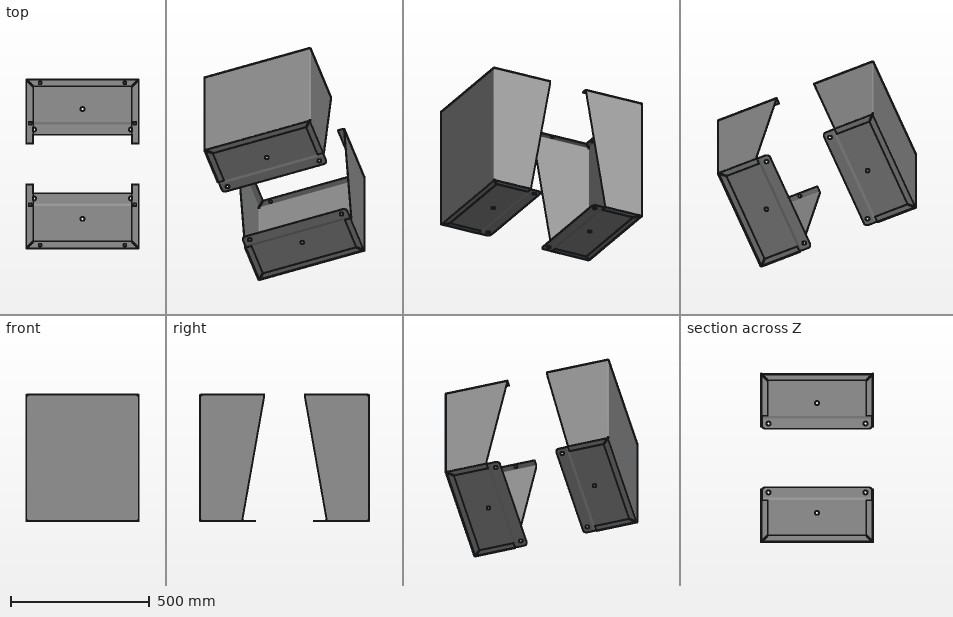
import cadquery as cq

WIDTH = 406.5
LENGTH = 609.5
HEIGHT = 457.0

SHEET = 2.25
BEND_RADIUS = 4.6
INNER_BEND_RADIUS = BEND_RADIUS - SHEET

TOP_DEPTH = 231.5
BOTTOM_DEPTH = 153.0
END_STRAIGHT = 8.5
FLANGE_WIDTH = 25.5
MITRE_GAP = 3.0
MITRE_ANGLE = -45.0

SCREW_DIAMETER = 11.0
BACK_SCREW_INSET = 13.0
BACK_SCREW_FROM_SIDE = 50.5
SIDE_SCREW_INSET = 14.5
SIDE_SCREW_FROM_BACK = 158.5

STEP_LENGTH = 9.0
LIP_END = 200.0
LIP_CORNER_RADIUS = 13.5
FLOOR_HOLE_DIAMETER = 14.0
CENTRE_HOLE_FROM_BACK = 107.0
LIP_HOLE_FROM_SIDE = 28.5
LIP_HOLE_FROM_BACK = 181.0

HALF_WIDTH = WIDTH / 2


def rounded_block(inset, radius):
    """Block inset from the envelope, rounded on all edges except at its open +Y end."""
    return (
        cq.Workplane("XY")
        .box(WIDTH - 2 * inset, LENGTH, HEIGHT - 2 * inset, centered=(True, False, True))
        .translate((0, inset, HEIGHT / 2))
        .edges("not >Y")
        .fillet(radius)
    )


def side_outline():
    """Side wall outline swept across the width; its free end tapers toward the bottom."""
    return (
        cq.Workplane("YZ")
        .moveTo(0, 0)
        .lineTo(BOTTOM_DEPTH, 0)
        .lineTo(BOTTOM_DEPTH, BEND_RADIUS)
        .lineTo(TOP_DEPTH, HEIGHT - END_STRAIGHT)
        .lineTo(TOP_DEPTH, HEIGHT)
        .lineTo(0, HEIGHT)
        .close()
        .extrude(HALF_WIDTH, both=True)
    )


def flange_opening():
    """Space inside the flanges, through the full height."""
    return (
        cq.Workplane("XY")
        .box(WIDTH - 2 * FLANGE_WIDTH, LENGTH, HEIGHT, centered=(True, False, False))
        .translate((0, FLANGE_WIDTH, 0))
    )


def mitre_slots():
    """Diagonal gaps between neighbouring flanges at the back corners, top and bottom."""
    slot_length = 4 * FLANGE_WIDTH
    slots = cq.Workplane("XY")
    for side in (-1, 1):
        for level in (0, HEIGHT - BEND_RADIUS):
            slot = (
                cq.Workplane("XY")
                .box(slot_length, MITRE_GAP, BEND_RADIUS, centered=(True, True, False))
                .rotate((0, 0, 0), (0, 0, 1), side * MITRE_ANGLE)
                .translate((side * HALF_WIDTH, 0, level))
            )
            slots = slots.add(slot)
    return slots.combine()


def screw_holes():
    """Drill bodies for the screw holes in the top flanges."""
    back_x = HALF_WIDTH - BACK_SCREW_FROM_SIDE
    side_x = HALF_WIDTH - SIDE_SCREW_INSET
    centres = [
        (-back_x, BACK_SCREW_INSET),
        (back_x, BACK_SCREW_INSET),
        (-side_x, SIDE_SCREW_FROM_BACK),
        (side_x, SIDE_SCREW_FROM_BACK),
    ]
    return (
        cq.Workplane("XY")
        .workplane(offset=HEIGHT - SHEET)
        .pushPoints(centres)
        .circle(SCREW_DIAMETER / 2)
        .extrude(SHEET)
    )


def make_shell():
    """Folded shell: rounded walls and flanges around the back and both sides."""
    return (
        rounded_block(0, BEND_RADIUS)
        .cut(rounded_block(SHEET, INNER_BEND_RADIUS))
        .intersect(side_outline())
        .cut(flange_opening())
        .cut(mitre_slots())
        .cut(screw_holes())
    )


def make_floor():
    """Floor plate lying on the bottom flanges, with a stepped-down mounting lip."""
    lip_start = BOTTOM_DEPTH + STEP_LENGTH
    plate = (
        cq.Workplane("YZ")
        .moveTo(BEND_RADIUS, SHEET)
        .lineTo(BOTTOM_DEPTH, SHEET)
        .lineTo(lip_start, 0)
        .lineTo(LIP_END, 0)
        .lineTo(LIP_END, SHEET)
        .lineTo(lip_start, SHEET)
        .lineTo(BOTTOM_DEPTH, 2 * SHEET)
        .lineTo(BEND_RADIUS, 2 * SHEET)
        .close()
        .extrude(HALF_WIDTH - BEND_RADIUS, both=True)
        .edges("|Z and >Y")
        .fillet(LIP_CORNER_RADIUS)
    )
    lip_hole_x = HALF_WIDTH - LIP_HOLE_FROM_SIDE
    holes = (
        cq.Workplane("XY")
        .pushPoints([
            (0, CENTRE_HOLE_FROM_BACK),
            (-lip_hole_x, LIP_HOLE_FROM_BACK),
            (lip_hole_x, LIP_HOLE_FROM_BACK),
        ])
        .circle(FLOOR_HOLE_DIAMETER / 2)
        .extrude(2 * SHEET)
    )
    return plate.cut(holes)


def place_half(body, turn):
    """Move a body to its half of the enclosure, turned about the common centre."""
    return body.translate((0, -LENGTH / 2, 0)).rotate((0, 0, 0), (0, 0, 1), turn)


shell = make_shell()
floor = make_floor()

solids = []
for turn in (0, 180):
    solids.append(place_half(shell, turn).solids().val())
    solids.append(place_half(floor, turn).solids().val())

result = cq.Compound.makeCompound(solids)